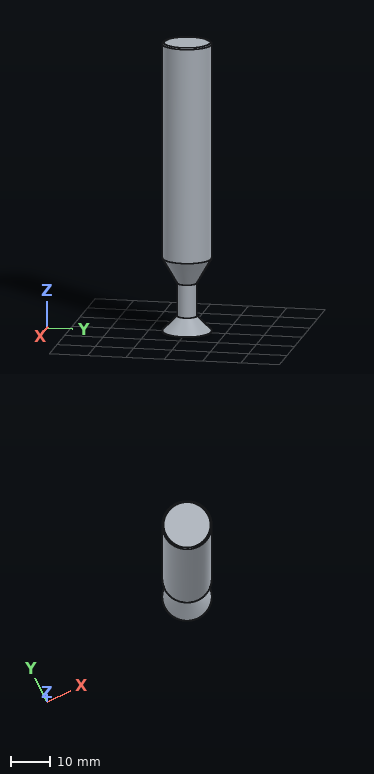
import cadquery as cq
import math

total_length = 76.2
shank_diameter = 12.7
neck_diameter = 5.1
head_diameter = 12.7
top_chamfer = 0.4
rim_rounding = 0.2
head_slope = math.radians(45)

neck_top = 12.8
shank_bottom = 19.4

shank_radius = shank_diameter / 2
neck_radius = neck_diameter / 2
head_radius = head_diameter / 2

rim_center_radius = head_radius - rim_rounding
cone_start_radius = rim_center_radius + rim_rounding * math.sin(head_slope)
cone_start_height = rim_rounding + rim_rounding * math.cos(head_slope)
head_top = cone_start_height + (cone_start_radius - neck_radius) * math.tan(head_slope)

profile = (
    cq.Workplane("XZ")
    .lineTo(rim_center_radius, 0)
    .threePointArc((head_radius, rim_rounding), (cone_start_radius, cone_start_height))
    .lineTo(neck_radius, head_top)
    .lineTo(neck_radius, neck_top)
    .lineTo(shank_radius, shank_bottom)
    .lineTo(shank_radius, total_length - top_chamfer)
    .lineTo(shank_radius - top_chamfer, total_length)
    .lineTo(0, total_length)
    .close()
)

result = profile.revolve(360, (0, 0, 0), (0, 1, 0))